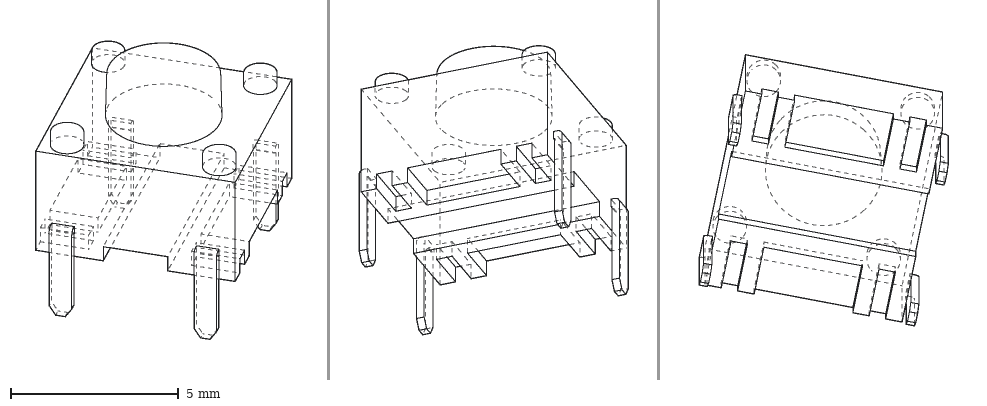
import cadquery as cq

BODY_X = 6.2
BODY_Y = 6.0
BODY_HEIGHT = 3.5
COVER_THICKNESS = 0.2

RECESS_HEIGHT = 0.5
CHANNEL_WIDTH = 2.0
NOTCH_DEPTH = 1.5
WIDE_NOTCH_WIDTH = 3.0
SMALL_NOTCH_WIDTH = 0.5
SMALL_NOTCH_Y = 2.25

TOP_HEIGHT = 5.0
PLUNGER_BASE_RADIUS = 1.74
PLUNGER_TOP_RADIUS = 1.7
RIM_FILLET = 0.05

RIVET_RADIUS = 0.5
RIVET_HEIGHT = 0.5
RIVET_X = 2.4
RIVET_Y = -2.3
RIVET_COUNT = 4

PIN_SPACING = 4.5
PIN_WIDTH = 0.7
PIN_THICKNESS = 0.25
PIN_SPAN_Y = 6.55
PIN_TOP = 1.05
PIN_BOTTOM = -2.0
PIN_BEND_RADIUS = 0.15
PIN_EMBED = 0.25
TIP_LENGTH = 0.3
TIP_WIDTH = 0.3


def make_layer(bottom_z, thickness):
    """Rectangular layer with the full housing footprint."""
    return (
        cq.Workplane("XY", origin=(0, 0, bottom_z))
        .box(BODY_X, BODY_Y, thickness, centered=(True, True, False))
    )


def underside_cut(x, y, size_x, size_y):
    """Box cutter rising from the underside, centred at (x, y)."""
    return (
        cq.Workplane("XY", origin=(x, y, 0))
        .box(size_x, size_y, RECESS_HEIGHT, centered=(True, True, False))
    )


def cut_underside(body):
    """Channel running through along Y, and three notches in each X side."""
    body = body.cut(underside_cut(0, 0, CHANNEL_WIDTH, BODY_Y))
    notches = [
        (-SMALL_NOTCH_Y, SMALL_NOTCH_WIDTH),
        (0, WIDE_NOTCH_WIDTH),
        (SMALL_NOTCH_Y, SMALL_NOTCH_WIDTH),
    ]
    for side in (-1, 1):
        notch_x = side * (BODY_X - NOTCH_DEPTH) / 2
        for notch_y, width in notches:
            body = body.cut(underside_cut(notch_x, notch_y, NOTCH_DEPTH, width))
    return body


def make_plunger():
    """Cone frustum standing on the cover, with a softened top rim."""
    return (
        cq.Workplane("XZ")
        .polyline([
            (0, BODY_HEIGHT),
            (PLUNGER_BASE_RADIUS, BODY_HEIGHT),
            (PLUNGER_TOP_RADIUS, TOP_HEIGHT),
            (0, TOP_HEIGHT),
        ])
        .close()
        .revolve(360, (0, 0, 0), (0, 1, 0))
        .faces(">Z")
        .edges()
        .fillet(RIM_FILLET)
    )


def make_rivet():
    """Single rivet head with a softened top rim."""
    return (
        cq.Workplane("XY", origin=(RIVET_X, RIVET_Y, BODY_HEIGHT))
        .circle(RIVET_RADIUS)
        .extrude(RIVET_HEIGHT)
        .faces(">Z")
        .edges()
        .fillet(RIM_FILLET)
    )


def make_pin():
    """Pin on the +Y side, centred on X = 0: bent side profile trimmed to a pointed front outline."""
    outer_y = PIN_SPAN_Y / 2
    inner_y = outer_y - PIN_THICKNESS
    tab_end_y = BODY_Y / 2 - PIN_EMBED
    tab_bottom = PIN_TOP - PIN_THICKNESS
    half_width = PIN_WIDTH / 2
    half_tip = TIP_WIDTH / 2
    shoulder_z = PIN_BOTTOM + TIP_LENGTH

    side_profile = (
        cq.Workplane("YZ")
        .moveTo(tab_end_y, tab_bottom)
        .lineTo(inner_y, tab_bottom)
        .lineTo(inner_y, PIN_BOTTOM)
        .lineTo(outer_y, PIN_BOTTOM)
        .lineTo(outer_y, PIN_TOP - PIN_BEND_RADIUS)
        .radiusArc((outer_y - PIN_BEND_RADIUS, PIN_TOP), -PIN_BEND_RADIUS)
        .lineTo(tab_end_y, PIN_TOP)
        .close()
        .extrude(half_width, both=True)
    )
    front_outline = (
        cq.Workplane("XZ")
        .polyline([
            (-half_width, PIN_TOP),
            (half_width, PIN_TOP),
            (half_width, shoulder_z),
            (half_tip, PIN_BOTTOM),
            (-half_tip, PIN_BOTTOM),
            (-half_width, shoulder_z),
        ])
        .close()
        .extrude(-outer_y)
    )
    return side_profile.intersect(front_outline)


def add_rivets(body):
    """Rivet heads repeated by equal turns about the plunger axis."""
    rivet = make_rivet()
    for index in range(RIVET_COUNT):
        turn = index * 360 / RIVET_COUNT
        body = body.union(rivet.rotate((0, 0, 0), (0, 0, 1), turn))
    return body


def add_pins(body):
    """Two pins on each Y side."""
    back_pin = make_pin()
    front_pin = back_pin.mirror("XZ")
    for pin in (back_pin, front_pin):
        for side in (-1, 1):
            body = body.union(pin.translate((side * PIN_SPACING / 2, 0, 0)))
    return body


base_height = BODY_HEIGHT - COVER_THICKNESS
base = add_pins(cut_underside(make_layer(0, base_height)))
cover = add_rivets(make_layer(base_height, COVER_THICKNESS).union(make_plunger()))

result = base.union(cover, clean=False)